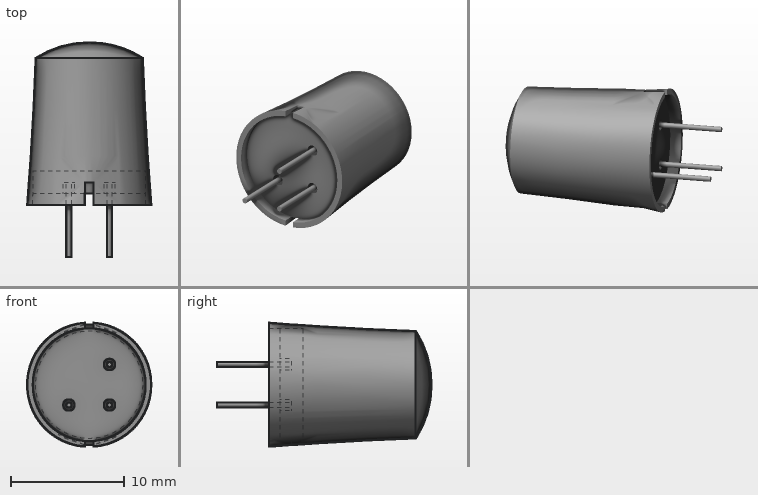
import cadquery as cq


rim_diameter = 11.0
rim_radius = rim_diameter / 2
shoulder_radius = 4.75
wall_length = 13.0
wall_sag = 0.08
dome_height = 1.4
bore_radius = 5.0

slot_width = 0.76
slot_depth = 2.0

base_recess = 1.0
base_thickness = 2.0
bore_depth = base_recess + base_thickness

pin_diameter = 0.48
pin_spacing = 3.6
pin_offset = pin_spacing / 2
overall_length = 19.0
pin_tip = overall_length - wall_length - dome_height
pin_places = [(pin_offset, pin_offset), (pin_offset, -pin_offset), (-pin_offset, -pin_offset)]

recess_diameter = 1.0
recess_depth = 1.0
pin_root = base_recess + recess_depth


def cylinder_along_y(radius, start, end, x=0, z=0):
    """Cylinder parallel to Y, between Y = start and Y = end."""
    return cq.Workplane("XZ", origin=(x, start, z)).circle(radius).extrude(start - end)


def make_cap():
    """Domed, slightly flared cap with a blind bore and two rim slots."""
    wall_middle = ((rim_radius + shoulder_radius) / 2 - wall_sag, wall_length / 2)
    dome_sphere_radius = (shoulder_radius**2 + dome_height**2) / (2 * dome_height)
    dome_x = shoulder_radius / 2
    dome_drop = dome_sphere_radius - (dome_sphere_radius**2 - dome_x**2) ** 0.5
    dome_top = wall_length + dome_height
    cap = (
        cq.Workplane("XY")
        .lineTo(rim_radius, 0)
        .threePointArc(wall_middle, (shoulder_radius, wall_length))
        .threePointArc((dome_x, dome_top - dome_drop), (0, dome_top))
        .close()
        .revolve(360, (0, 0, 0), (0, 1, 0))
    )
    slots = cq.Workplane("XY").box(
        slot_width, slot_depth, 2 * rim_radius, centered=(True, False, True)
    )
    return cap.cut(cylinder_along_y(bore_radius, 0, bore_depth)).cut(slots)


def make_base():
    """Disc filling the inner part of the bore, recessed around each pin."""
    base = cylinder_along_y(bore_radius, base_recess, bore_depth)
    for x, z in pin_places:
        base = base.cut(cylinder_along_y(recess_diameter / 2, base_recess, pin_root, x, z))
    return base


def make_pin(x, z):
    """Straight pin standing on its recess floor."""
    return cylinder_along_y(pin_diameter / 2, -pin_tip, pin_root, x, z)


cap = make_cap()
base = make_base()
pins = [make_pin(x, z) for x, z in pin_places]

result = cq.Compound.makeCompound([cap.val(), base.val(), *[pin.val() for pin in pins]])